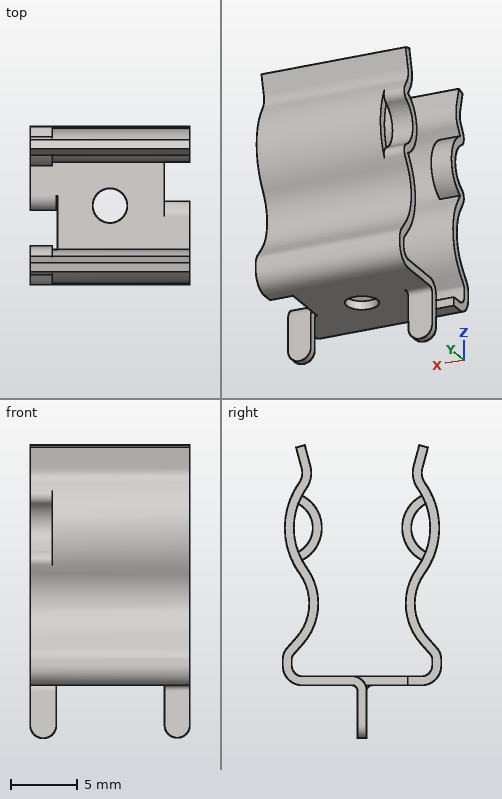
import cadquery as cq
import math

length = 12.1
width = 12.0
top_height = 18.19
sheet = 0.7
half_length = length / 2
half_width = width / 2
shortest_straight = 1e-4

foot_radius = 1.5
foot_flat = 0.5
shoulder_radius = 1.22
waist_radius = 3.9
waist_offset = 4.0
waist_height = 6.2
grip_offset = 5.85
grip_height = 11.92
neck_offset = 4.53
neck_height = 16.08
lip_angle = -15.0

stop_width = 1.7
stop_radius = 2.75
stop_offset = 3.03

hole_diameter = 2.6
slot_outer_edge = 3.46
tab_bend_radius = 0.4
tab_drop = 3.0
left_tab_width = 2.0
left_slot_width = 2.06
right_tab_width = 1.93


def polar(center, radius, angle):
    """Point at a signed radius from a centre, along an angle in degrees."""
    turn = math.radians(angle)
    return (center[0] + radius * math.cos(turn), center[1] + radius * math.sin(turn))


def tangent_radii_sum(gap, rise):
    """Sum of radii of two opposed arcs that meet tangentially, crest to crest over gap and rise."""
    return (gap**2 + rise**2) / (2 * gap)


def tangent_normal(first, second):
    """Normal angle where two bends join tangentially, directly or by a straight."""
    (center_a, radius_a), (center_b, radius_b) = first, second
    run = center_b[0] - center_a[0]
    rise = center_b[1] - center_a[1]
    cosine = (radius_a - radius_b) / math.hypot(run, rise)
    tilt = math.acos(max(-1.0, min(1.0, cosine)))
    return math.degrees(math.atan2(rise, run) - tilt)


grip_radius = tangent_radii_sum(grip_offset - waist_offset, grip_height - waist_height) - waist_radius
neck_radius = tangent_radii_sum(grip_offset - neck_offset, neck_height - grip_height) - grip_radius

foot = ((half_width - foot_radius, foot_radius), foot_radius)
shoulder = ((half_width - shoulder_radius, foot_radius + foot_flat), shoulder_radius)
waist = ((waist_offset + waist_radius, waist_height), -waist_radius)
grip = ((grip_offset - grip_radius, grip_height), grip_radius)
neck = ((neck_offset + neck_radius, neck_height), -neck_radius)
bends = [foot, shoulder, waist, grip, neck]

normals = [-90.0, 0.0]
normals += [tangent_normal(a, b) for a, b in zip(bends[1:], bends[2:])]
normals.append(lip_angle)


def lip_end(depth):
    """Tip of the lip at a depth below the outer face; the inner corner is at full height."""
    lip_start_inner = polar(neck[0], neck[1] - sheet, lip_angle)
    lip_length = (top_height - lip_start_inner[1]) / math.cos(math.radians(lip_angle))
    return polar(polar(neck[0], neck[1] - depth, lip_angle), lip_length, lip_angle + 90)


def half_strip():
    """Half of the base and one arm, on the +Y side."""
    def arcs(depth):
        """The bends from base to lip, each as start, middle and end points, at a depth."""
        for (center, radius), start, end in zip(bends, normals, normals[1:]):
            angles = (start, (start + end) / 2, end)
            yield [polar(center, radius - depth, angle) for angle in angles]

    profile = cq.Workplane("YZ", origin=(-half_length, 0, 0)).moveTo(0, 0)
    here = (0, 0)
    for start, middle, end in arcs(0):
        if math.dist(here, start) > shortest_straight:
            profile = profile.lineTo(*start)
        profile = profile.threePointArc(middle, end)
        here = end
    profile = profile.lineTo(*lip_end(0)).lineTo(*lip_end(sheet))
    here = lip_end(sheet)
    for start, middle, end in reversed(list(arcs(sheet))):
        if math.dist(here, end) > shortest_straight:
            profile = profile.lineTo(*end)
        profile = profile.threePointArc(middle, start)
        here = start
    return profile.lineTo(0, sheet).close().extrude(length)


stop_center = (stop_offset + stop_radius, grip_height)
grip_inner_radius = grip_radius - sheet
center_gap = stop_center[0] - grip[0][0]
crease_offset = (grip_inner_radius**2 + center_gap**2 - stop_radius**2) / (2 * center_gap)
crease_angle = math.degrees(math.acos(crease_offset / grip_inner_radius))
crease_top = polar(grip[0], grip_inner_radius, crease_angle)
crease_low = polar(grip[0], grip_inner_radius, -crease_angle)
outer_top = polar(grip[0], grip_radius, crease_angle)
outer_low = polar(grip[0], grip_radius, -crease_angle)


def stop_opening():
    """Wedge from the grip centre that clears the sheet between the creases, on the +Y side."""
    reach = 2 * grip_radius
    return (
        cq.Workplane("YZ", origin=(-half_length, 0, 0))
        .moveTo(*grip[0])
        .lineTo(*polar(grip[0], reach, -crease_angle))
        .lineTo(*polar(grip[0], reach, crease_angle))
        .close()
        .extrude(stop_width)
    )


def end_stop():
    """Inward-bowed strip, rounded about each crease, on the +Y side."""
    rise = crease_top[1] - stop_center[1]
    stop_angle = math.degrees(math.atan2(rise, crease_top[0] - stop_center[0]))
    back_radius = stop_radius - sheet
    back_top = polar(stop_center, back_radius, stop_angle)
    back_low = polar(stop_center, back_radius, -stop_angle)
    round_angle = (crease_angle + stop_angle - 180) / 2
    return (
        cq.Workplane("YZ", origin=(-half_length, 0, 0))
        .moveTo(*crease_top)
        .threePointArc((stop_offset, grip_height), crease_low)
        .lineTo(*outer_low)
        .threePointArc(polar(crease_low, sheet, -round_angle), back_low)
        .threePointArc((stop_offset + sheet, grip_height), back_top)
        .threePointArc(polar(crease_top, sheet, round_angle), outer_top)
        .close()
        .extrude(stop_width)
    )


bend_center = (sheet / 2 + tab_bend_radius, -tab_bend_radius)


def tab_slot(slot_width):
    """Cutout in the base at the -X end that a tab is bent out of."""
    slot_length = slot_outer_edge + bend_center[0]
    return cq.Workplane("XY").box(slot_width, slot_length, sheet, centered=False).translate(
        (-half_length, -slot_outer_edge, 0)
    )


def tab(tab_width):
    """Solder tab at the -X end, bent down from the +Y part of the base."""
    inner, outer = tab_bend_radius, tab_bend_radius + sheet
    middle_x = -half_length + tab_width / 2
    bent_strip = (
        cq.Workplane("YZ", origin=(-half_length, 0, 0))
        .moveTo(*polar(bend_center, inner, 90))
        .threePointArc(polar(bend_center, inner, 135), polar(bend_center, inner, 180))
        .lineTo(sheet / 2, -tab_drop)
        .lineTo(-sheet / 2, -tab_drop)
        .lineTo(*polar(bend_center, outer, 180))
        .threePointArc(polar(bend_center, outer, 135), polar(bend_center, outer, 90))
        .close()
        .extrude(tab_width)
    )
    round_end = (
        cq.Workplane("XZ", origin=(0, sheet / 2, 0))
        .moveTo(-half_length, -tab_drop)
        .threePointArc((middle_x, -tab_drop - tab_width / 2), (-half_length + tab_width, -tab_drop))
        .close()
        .extrude(sheet)
    )
    return bent_strip.union(round_end)


def half_turn(shape):
    """Move a -X end feature to the +X end, facing the other way."""
    return shape.rotate((0, 0, 0), (0, 0, 1), 180)


arm = half_strip().cut(stop_opening()).union(end_stop())
clip = arm.union(arm.mirror("XZ"))
clip = clip.cut(tab_slot(left_slot_width)).union(tab(left_tab_width))
clip = clip.cut(half_turn(tab_slot(right_tab_width))).union(half_turn(tab(right_tab_width)))
hole = cq.Workplane("XY").circle(hole_diameter / 2).extrude(sheet)
result = clip.cut(hole)